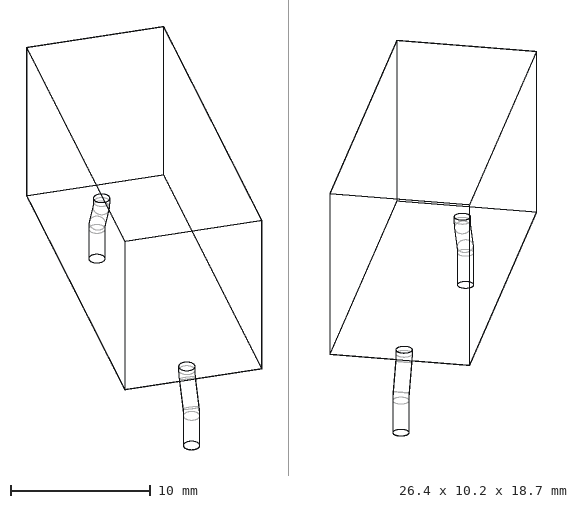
import cadquery as cq
import math

total_length = 26.42
total_height = 18.68

housing_length = 26.2
housing_width = 10.17
housing_height = 12.7

pin_diameter = 1.15
pin_offset = 1.27
root_length = 0.32
bend_radius = 1.3
bend_angle = math.radians(27)

tip_x = (total_length - pin_diameter) / 2
root_x = tip_x - pin_offset
tip_z = housing_height - total_height


def bend_shift(angle):
    """Sideways and downward travel along a bend that starts out vertical."""
    return bend_radius * (1 - math.cos(angle)), bend_radius * math.sin(angle)


def make_housing():
    """Plain block standing on Z = 0."""
    return cq.Workplane("XY").box(
        housing_length, housing_width, housing_height, centered=(True, True, False)
    )


def make_pin(side):
    """Pin on the +X (side = 1) or -X (side = -1) end, hanging from the housing's underside."""
    side_half, down_half = bend_shift(bend_angle / 2)
    side_full, down_full = bend_shift(bend_angle)
    slope_run = pin_offset - 2 * side_full
    slope_drop = slope_run / math.tan(bend_angle)
    upper_z = -root_length
    lower_z = upper_z - 2 * down_full - slope_drop

    path = (
        cq.Workplane("XZ")
        .moveTo(side * root_x, 0)
        .lineTo(side * root_x, upper_z)
        .threePointArc(
            (side * (root_x + side_half), upper_z - down_half),
            (side * (root_x + side_full), upper_z - down_full),
        )
        .lineTo(side * (tip_x - side_full), lower_z + down_full)
        .threePointArc(
            (side * (tip_x - side_half), lower_z + down_half),
            (side * tip_x, lower_z),
        )
        .lineTo(side * tip_x, tip_z)
    )
    return cq.Workplane("XY").center(side * root_x, 0).circle(pin_diameter / 2).sweep(path)


housing = make_housing()
pins = [make_pin(side) for side in (-1, 1)]

result = cq.Compound.makeCompound([housing.val(), *[pin.val() for pin in pins]])